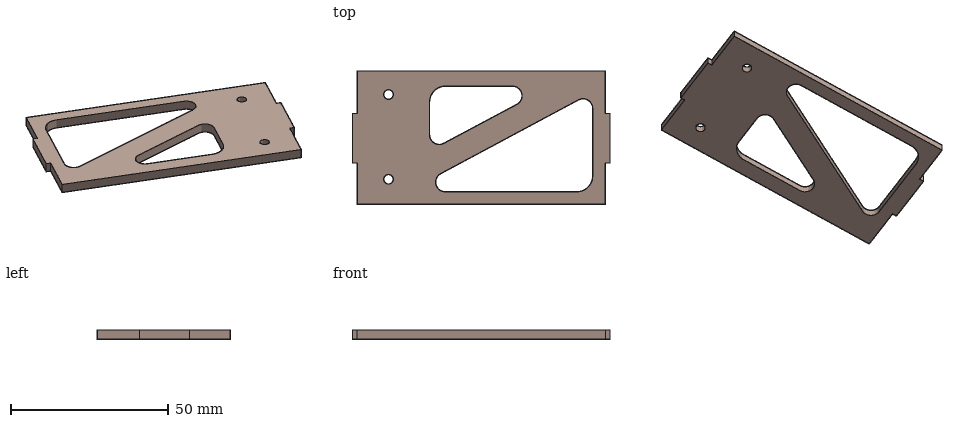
import cadquery as cq

overall_length = 82.0
plate_width = 42.5
thickness = 3.0
tab_depth = 1.5
tab_width = 15.8
tab_center_y = -0.25
plate_length = overall_length - 2 * tab_depth

hole_diameter = 2.95
hole_x = -29.5
hole_upper_y = 13.7
hole_lower_y = -13.3

upper_corner = (-16.4, 16.3)
upper_legs = (38.45, -20.5)
lower_corner = (35.4, -17.2)
lower_legs = (-58.95, 31.6)
square_corner_radius = 5.0
sharp_corner_radius = 3.0


def window_cutter(corner, legs):
    """Triangular prism with a large round at the square corner and small rounds at the others."""
    x, y = corner
    x_end = x + legs[0]
    y_end = y + legs[1]
    prism = (
        cq.Workplane("XY")
        .polyline([(x, y), (x_end, y), (x, y_end)])
        .close()
        .extrude(thickness)
    )
    mid_height = thickness / 2
    square_edge = cq.selectors.NearestToPointSelector((x, y, mid_height))
    prism = prism.edges("|Z").edges(square_edge).fillet(square_corner_radius)
    for sharp_point in [(x_end, y, mid_height), (x, y_end, mid_height)]:
        sharp_edge = cq.selectors.NearestToPointSelector(sharp_point)
        prism = prism.edges("|Z").edges(sharp_edge).fillet(sharp_corner_radius)
    return prism


plate = cq.Workplane("XY").box(plate_length, plate_width, thickness, centered=(True, True, False))
tabs = (
    cq.Workplane("XY")
    .center(0, tab_center_y)
    .box(overall_length, tab_width, thickness, centered=(True, True, False))
)
holes = (
    cq.Workplane("XY")
    .pushPoints([(hole_x, hole_upper_y), (hole_x, hole_lower_y)])
    .circle(hole_diameter / 2)
    .extrude(thickness)
)

result = (
    plate.union(tabs)
    .cut(holes)
    .cut(window_cutter(upper_corner, upper_legs))
    .cut(window_cutter(lower_corner, lower_legs))
)